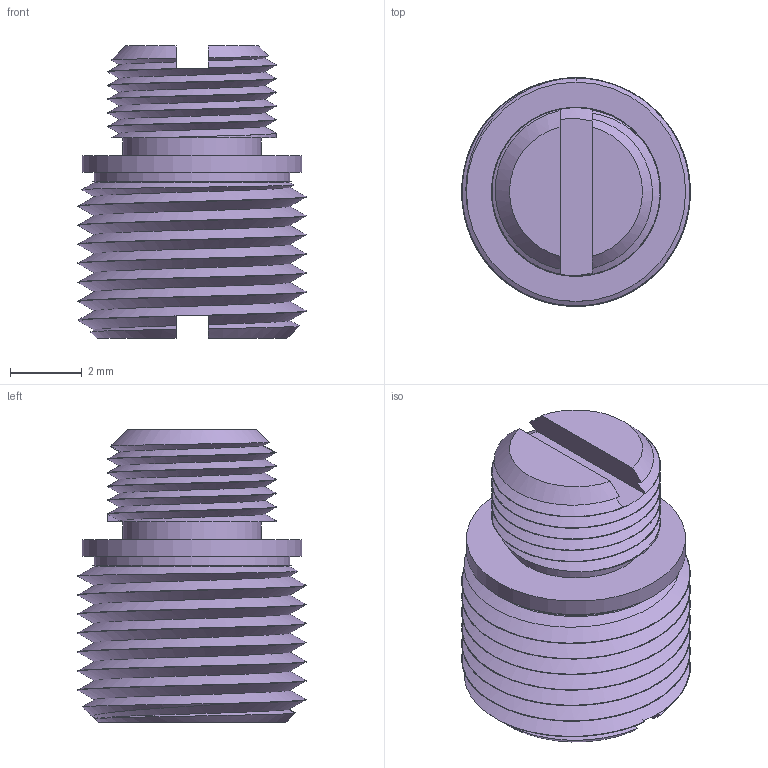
import cadquery as cq
import math

millimetres_per_inch = 25.4

total_height = 8.13
lower_thread_top = 4.36
flange_bottom = 4.62
flange_top = 5.08
neck_top = 5.57

relief_diameter = 5.44
flange_diameter = 6.1
neck_diameter = 3.86

lower_major_diameter = 6.36
lower_threads_per_inch = 48
lower_pitch = millimetres_per_inch / lower_threads_per_inch
lower_turns = 8
lower_first_root = 0.096

upper_major_diameter = 4.7
upper_pitch = 0.381
upper_turns = 6
upper_first_root = 5.6

flank_angle = 30
crest_flat = 0.008
crest_height = 0.01
groove_overshoot = 0.1
thread_start_angle = 90
blank_seam_angle = 37

bottom_face_diameter = 5.3
top_face_diameter = 3.7

slot_width = 0.89
slot_depth = 0.635
slot_length = 2 * lower_major_diameter


def disc(diameter, bottom, top):
    """Cylinder on the Z axis between two heights."""
    return cq.Workplane("XY").workplane(offset=bottom).circle(diameter / 2).extrude(top - bottom)


def groove_profile(major_diameter, pitch, root_height):
    """V section of a thread groove on the XZ plane; parallel sides leave a thin flat crest."""
    flank_top_radius = major_diameter / 2 - crest_height
    half_opening = (pitch - crest_flat) / 2
    root_radius = flank_top_radius - half_opening / math.tan(math.radians(flank_angle))
    outer_radius = major_diameter / 2 + groove_overshoot
    return cq.Workplane("XZ").polyline([
        (root_radius, root_height),
        (flank_top_radius, root_height + half_opening),
        (outer_radius, root_height + half_opening),
        (outer_radius, root_height - half_opening),
        (flank_top_radius, root_height - half_opening),
    ]).close()


def thread_groove(major_diameter, pitch, turns, first_root):
    """Helical V groove starting on the +Y side at the height of its first root."""
    helix = cq.Wire.makeHelix(pitch, pitch * turns, major_diameter / 2)
    groove = groove_profile(major_diameter, pitch, 0).sweep(cq.Workplane(helix), isFrenet=True)
    return groove.rotate((0, 0, 0), (0, 0, 1), thread_start_angle).translate((0, 0, first_root))


def chamfered_blank(major_diameter, face_diameter, bottom, top, end_face):
    """Unthreaded section with one chamfered end, its seam turned clear of the thread ends."""
    chamfer = (major_diameter - face_diameter) / 2
    blank = disc(major_diameter, bottom, top).faces(end_face).chamfer(chamfer)
    return blank.rotate((0, 0, 0), (0, 0, 1), blank_seam_angle)


def lower_threaded_section():
    """Large thread, chamfered at the bottom and ending in an annular groove at the top."""
    last_root = lower_first_root + lower_turns * lower_pitch
    blank = chamfered_blank(lower_major_diameter, bottom_face_diameter, 0, lower_thread_top, "<Z")
    threaded = blank.cut(thread_groove(lower_major_diameter, lower_pitch, lower_turns, lower_first_root))
    end_profile = groove_profile(lower_major_diameter, lower_pitch, last_root)
    end_groove = end_profile.revolve(axisStart=(0, 0), axisEnd=(0, 1))
    return threaded.cut(end_groove)


def upper_threaded_section():
    """Small thread, chamfered at the top."""
    blank = chamfered_blank(upper_major_diameter, top_face_diameter, neck_top, total_height, ">Z")
    return blank.cut(thread_groove(upper_major_diameter, upper_pitch, upper_turns, upper_first_root))


def slot(bottom):
    """Straight slot cutter running right across the part along Y."""
    return (
        cq.Workplane("XY")
        .workplane(offset=bottom)
        .rect(slot_width, slot_length)
        .extrude(slot_depth)
    )


relief = disc(relief_diameter, lower_thread_top, flange_bottom)
flange = disc(flange_diameter, flange_bottom, flange_top)
neck = disc(neck_diameter, flange_top, neck_top)

result = lower_threaded_section().union(relief).union(flange).union(neck).union(upper_threaded_section())
for slot_bottom in (0, total_height - slot_depth):
    result = result.cut(slot(slot_bottom))